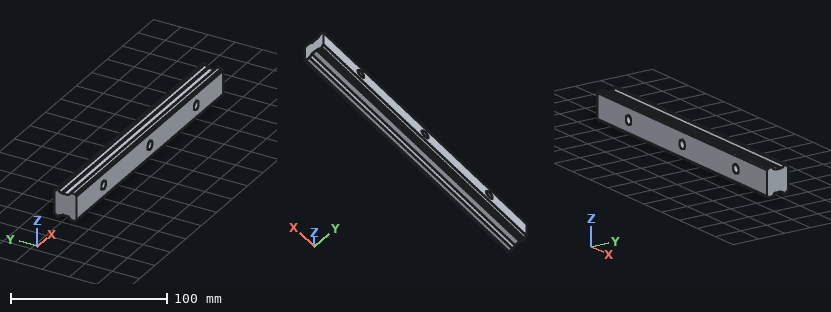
import cadquery as cq
import math

length = 190.0
width = 16.5
height = 20.0

front_chamfer = 1.1
front_land = 3.0
ramp_size = 2.0
floor_width = 4.2
step_width = 0.5
groove_arc_radius = 1.7
back_land = 1.7
back_edge_size = 1.7
back_edge_sag = 0.4

hole_diameter = 6.0
hole_pitch = 60.0
hole_count = 3

front_y = -width / 2
back_y = width / 2
chamfer_y = front_y + front_chamfer
ramp_top_y = chamfer_y + front_land
ramp_bottom_y = ramp_top_y + ramp_size
floor_end_y = ramp_bottom_y + floor_width
step_top_y = floor_end_y + step_width
back_edge_y = back_y - back_edge_size
groove_end_y = back_edge_y - back_land
arc_start_y = groove_end_y - groove_arc_radius

top_z = height / 2
floor_z = top_z - ramp_size
step_z = top_z - groove_arc_radius
back_edge_z = top_z - back_edge_size
diagonal = math.sqrt(0.5)


def make_half():
    """Upper half of the grooved rail, from the mid-plane to the top."""
    groove_mid = (
        groove_end_y - groove_arc_radius * (1 - diagonal),
        step_z + groove_arc_radius * (1 - diagonal),
    )
    back_mid = (
        back_y - back_edge_size / 2 - back_edge_sag * diagonal,
        top_z - back_edge_size / 2 - back_edge_sag * diagonal,
    )
    return (
        cq.Workplane("YZ", origin=(-length / 2, 0, 0))
        .moveTo(front_y, 0)
        .lineTo(front_y, top_z - front_chamfer)
        .lineTo(chamfer_y, top_z)
        .lineTo(ramp_top_y, top_z)
        .lineTo(ramp_bottom_y, floor_z)
        .lineTo(floor_end_y, floor_z)
        .lineTo(step_top_y, step_z)
        .lineTo(arc_start_y, step_z)
        .threePointArc(groove_mid, (groove_end_y, top_z))
        .lineTo(back_edge_y, top_z)
        .threePointArc(back_mid, (back_y, back_edge_z))
        .lineTo(back_y, 0)
        .close()
        .extrude(length)
    )


def make_holes():
    """Row of mounting holes through the rail from front to back."""
    return (
        cq.Workplane("XZ", origin=(0, back_y, 0))
        .rarray(hole_pitch, 1.9, hole_count, 1)
        .circle(hole_diameter / 2)
        .extrude(width)
    )


upper_half = make_half()
rail = upper_half.union(upper_half.mirror("XY")).clean()
result = rail.cut(make_holes())